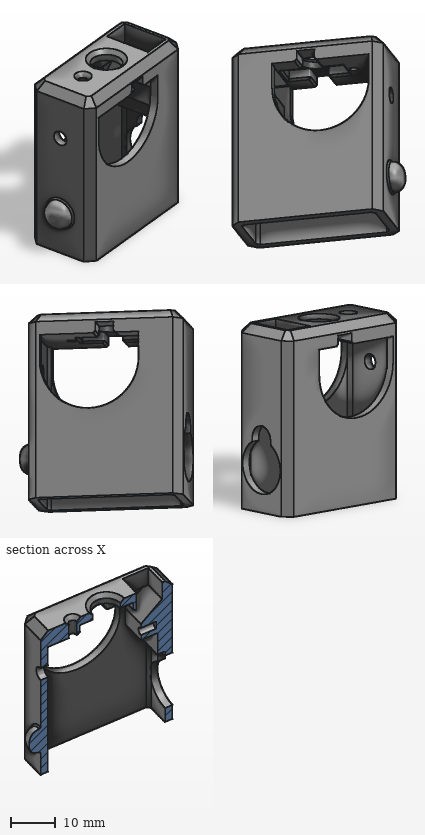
import cadquery as cq
import math

WIDTH = 17.0
LENGTH = 35.0
HEIGHT = 42.0
EDGE_CHAMFER = 2.0

WALL = 2.0
CEILING_Z = 37.0

WINDOW_FRONT_Y = 2.85
WINDOW_WIDTH = 22.4
WINDOW_BOTTOM_Z = 20.0

TOP_HOLE_DIAMETER = 7.25
TOP_HOLE_Y = LENGTH / 2
COUNTERSINK_DEPTH = 1.0

CROSS_ARM_WIDTH_X = 4.1
CROSS_ARM_WIDTH_Y = 6.2
CROSS_ARM_LENGTH_Y = 14.0
CROSS_TOP_Z = 39.45
CROSS_EDGE = 0.5

SCREW_HOLE_DIAMETER = 2.0
SCREW_HOLE_Y = 8.6

CHUTE_WIDTH = 11.3
CHUTE_FRONT_Y = 25.45
CHUTE_BACK_Y = 32.2
CHUTE_FLOOR_BACK_Z = 37.0
CHUTE_FLOOR_FRONT_Z = 32.2

BLOCK_FRONT_Y = 26.6
BLOCK_BOTTOM_Z = 27.35
STEP_FRONT_Y = 31.0
STEP_BOTTOM_Z = 20.95

ACCESS_HOLE_DIAMETER = 3.5
ACCESS_HOLE_Z = 29.95
BLOCK_HOLE_DEPTH = 4.0

BUTTON_Z = 10.4
BUTTON_RIM_DIAMETER = 7.8
BUTTON_TIP_DIAMETER = 1.8
BUTTON_HEIGHT = 3.0
BUTTON_RIM_HEIGHT = 0.4

KEYHOLE_DIAMETER = 12.3
KEYHOLE_SLOT_WIDTH = 6.0
KEYHOLE_SLOT_Z = 16.7


def upright_box(width, length, height, edge_chamfer):
    """Box standing on the base plane around the body's axis, with its upright edges chamfered."""
    box = cq.Workplane("XY").box(width, length, height, centered=(True, True, False))
    return box.edges("|Z").chamfer(edge_chamfer).translate((0, LENGTH / 2, 0))


def make_body():
    body = upright_box(WIDTH, LENGTH, HEIGHT, EDGE_CHAMFER)
    return body.faces(">Z").chamfer(EDGE_CHAMFER)


def make_cavity():
    inner_chamfer = EDGE_CHAMFER - WALL * (2 - math.sqrt(2))
    return upright_box(WIDTH - 2 * WALL, LENGTH - 2 * WALL, CEILING_Z, inner_chamfer)


def make_window():
    radius = WINDOW_WIDTH / 2
    centre_y = WINDOW_FRONT_Y + radius
    back_y = WINDOW_FRONT_Y + WINDOW_WIDTH
    arc_z = WINDOW_BOTTOM_Z + radius
    return (
        cq.Workplane("YZ")
        .moveTo(WINDOW_FRONT_Y, CEILING_Z)
        .lineTo(WINDOW_FRONT_Y, arc_z)
        .threePointArc((centre_y, WINDOW_BOTTOM_Z), (back_y, arc_z))
        .lineTo(back_y, CEILING_Z)
        .close()
        .extrude(WIDTH, both=True)
    )


def make_cross_recess():
    straight_depth = CROSS_TOP_Z - CEILING_Z - CROSS_EDGE
    x_arm = cq.Workplane("XY").rect(2 * WIDTH, CROSS_ARM_WIDTH_X).extrude(straight_depth)
    y_arm = cq.Workplane("XY").rect(CROSS_ARM_WIDTH_Y, CROSS_ARM_LENGTH_Y).extrude(straight_depth)
    reach = (CROSS_ARM_WIDTH_Y, CROSS_ARM_WIDTH_X, straight_depth)
    inner_corners = cq.selectors.BoxSelector(tuple(-size for size in reach), reach)
    cross = x_arm.union(y_arm).edges("|Z").edges(inner_corners).fillet(CROSS_EDGE)
    flare = cross.faces("<Z").wires().toPending().extrude(-CROSS_EDGE, taper=-45, combine=False)
    return cross.union(flare).translate((0, TOP_HOLE_Y, CEILING_Z + CROSS_EDGE))


def make_countersunk_hole(diameter, y):
    """Hole from the top into the cavity, with a 45 degree countersink."""
    radius = diameter / 2
    return (
        cq.Workplane("XZ", origin=(0, y, 0))
        .moveTo(0, CEILING_Z)
        .lineTo(radius, CEILING_Z)
        .lineTo(radius, HEIGHT - COUNTERSINK_DEPTH)
        .lineTo(radius + COUNTERSINK_DEPTH, HEIGHT)
        .lineTo(0, HEIGHT)
        .close()
        .revolve(360, (0, 0, 0), (0, 1, 0))
    )


def make_chute_opening():
    return (
        cq.Workplane("XY", origin=(0, 0, CHUTE_FLOOR_FRONT_Z))
        .center(0, (CHUTE_FRONT_Y + CHUTE_BACK_Y) / 2)
        .rect(CHUTE_WIDTH, CHUTE_BACK_Y - CHUTE_FRONT_Y)
        .extrude(HEIGHT - CHUTE_FLOOR_FRONT_Z)
    )


def make_chute_block():
    root_y = LENGTH - WALL / 2
    block = (
        cq.Workplane("YZ")
        .moveTo(BLOCK_FRONT_Y, BLOCK_BOTTOM_Z)
        .lineTo(STEP_FRONT_Y, BLOCK_BOTTOM_Z)
        .lineTo(STEP_FRONT_Y, STEP_BOTTOM_Z)
        .lineTo(root_y, STEP_BOTTOM_Z)
        .lineTo(root_y, CHUTE_FLOOR_BACK_Z)
        .lineTo(CHUTE_BACK_Y, CHUTE_FLOOR_BACK_Z)
        .lineTo(BLOCK_FRONT_Y, CHUTE_FLOOR_FRONT_Z)
        .close()
        .extrude((WIDTH - 2 * WALL) / 2, both=True)
    )
    screw_hole = make_y_cylinder(SCREW_HOLE_DIAMETER, BLOCK_FRONT_Y, BLOCK_HOLE_DEPTH, ACCESS_HOLE_Z)
    return block.cut(screw_hole)


def make_y_cylinder(diameter, start_y, length, z):
    return cq.Workplane("XZ", origin=(0, start_y, z)).circle(diameter / 2).extrude(-length)


def make_keyhole():
    start_y = LENGTH - WALL
    round_part = make_y_cylinder(KEYHOLE_DIAMETER, start_y, WALL, BUTTON_Z)
    slot_end = make_y_cylinder(KEYHOLE_SLOT_WIDTH, start_y, WALL, KEYHOLE_SLOT_Z)
    slot = (
        cq.Workplane("XZ", origin=(0, start_y, (BUTTON_Z + KEYHOLE_SLOT_Z) / 2))
        .rect(KEYHOLE_SLOT_WIDTH, KEYHOLE_SLOT_Z - BUTTON_Z)
        .extrude(-WALL)
    )
    return round_part.union(slot).union(slot_end)


def make_button():
    tip_radius = BUTTON_TIP_DIAMETER / 2
    round_radius = BUTTON_HEIGHT - BUTTON_RIM_HEIGHT
    round_offset = round_radius * math.sqrt(0.5)
    dome_radius = tip_radius + round_radius
    return (
        cq.Workplane("XY", origin=(0, 0, BUTTON_Z))
        .lineTo(BUTTON_RIM_DIAMETER / 2, 0)
        .lineTo(dome_radius, -BUTTON_RIM_HEIGHT)
        .threePointArc(
            (tip_radius + round_offset, -BUTTON_RIM_HEIGHT - round_offset),
            (tip_radius, -BUTTON_HEIGHT),
        )
        .lineTo(0, -BUTTON_HEIGHT)
        .close()
        .revolve(360, (0, 0, 0), (0, 1, 0))
    )


result = (
    make_body()
    .cut(make_cavity())
    .cut(make_window())
    .cut(make_cross_recess())
    .cut(make_countersunk_hole(TOP_HOLE_DIAMETER, TOP_HOLE_Y))
    .cut(make_countersunk_hole(SCREW_HOLE_DIAMETER, SCREW_HOLE_Y))
    .cut(make_chute_opening())
    .union(make_chute_block())
    .cut(make_y_cylinder(ACCESS_HOLE_DIAMETER, 0, WALL, ACCESS_HOLE_Z))
    .cut(make_keyhole())
    .union(make_button())
)